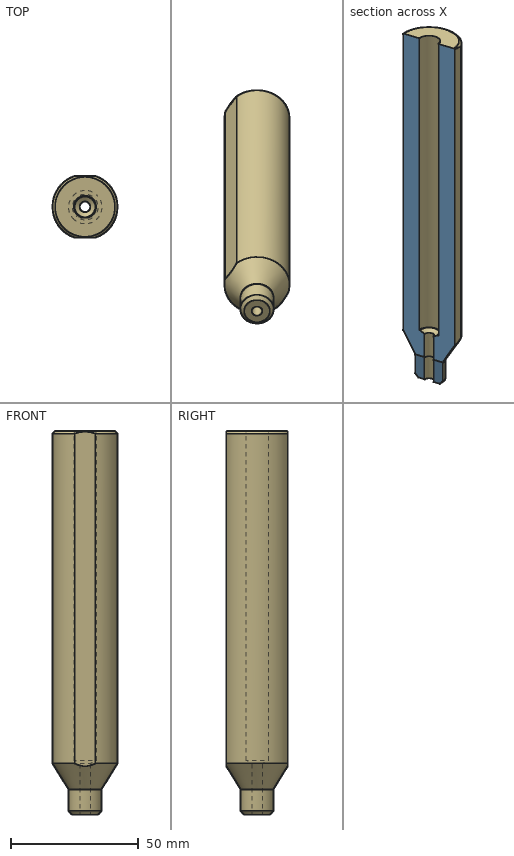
import math

import cadquery as cq

total_length = 150.0
body_diameter = 25.5
across_flats = 24.2
top_chamfer = 1.0

spigot_diameter = 13.0
spigot_length = 9.8
spigot_chamfer = 1.5
land_length = 0.3
taper_length = 10.0

bore_diameter = 8.7
cone_diameter = 8.1
cone_angle = 118.0
outlet_diameter = 4.0

body_radius = body_diameter / 2
spigot_radius = spigot_diameter / 2
bore_radius = bore_diameter / 2
cone_radius = cone_diameter / 2
outlet_radius = outlet_diameter / 2
taper_bottom = spigot_length + land_length
taper_top = taper_bottom + taper_length
cone_bottom = taper_top
cone_top = cone_bottom + (cone_radius - outlet_radius) / math.tan(math.radians(cone_angle / 2))


def revolve_about_axis(points):
    """Solid of revolution about Z from a closed outline of (radius, height) points."""
    return cq.Workplane("XZ").polyline(points).close().revolve(360, (0, 0, 0), (0, 1, 0))


def housing_blank():
    """Round housing with a chamfered top and a tapered lower end."""
    return revolve_about_axis([
        (0, spigot_length),
        (spigot_radius, spigot_length),
        (spigot_radius, taper_bottom),
        (body_radius, taper_top),
        (body_radius, total_length - top_chamfer),
        (body_radius - top_chamfer, total_length),
        (0, total_length),
    ])


def flats_envelope():
    """Block whose -Y and +Y sides cut the two long flats."""
    return cq.Workplane("XY").box(
        body_diameter, across_flats, total_length, centered=(True, True, False)
    )


def stepped_bore():
    """Bore from the top with a narrow ledge, a shallow cone and the outlet below it."""
    return revolve_about_axis([
        (0, 0),
        (outlet_radius, 0),
        (outlet_radius, cone_bottom),
        (cone_radius, cone_top),
        (bore_radius, cone_top),
        (bore_radius, total_length),
        (0, total_length),
    ])


def make_housing():
    """Long housing with two flats and the stepped bore."""
    return housing_blank().intersect(flats_envelope()).cut(stepped_bore())


def make_spigot():
    """Round end piece below the housing, chamfered at its foot and pierced by the outlet."""
    return (
        cq.Workplane("XY")
        .circle(spigot_radius)
        .extrude(spigot_length)
        .faces("<Z")
        .chamfer(spigot_chamfer)
        .cut(stepped_bore())
    )


housing = make_housing()
spigot = make_spigot()

result = cq.Compound.makeCompound([housing.val(), spigot.val()])